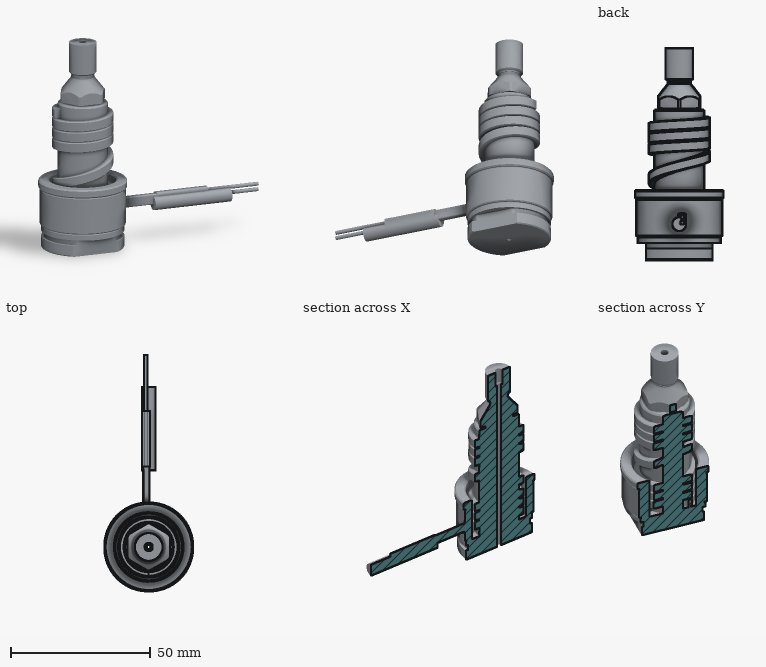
import cadquery as cq
import math

join_overlap = 0.1

flat_half_width = 12.0
plug_radius = 15.0
plug_height = 4.2
plug_chamfer = 0.4
neck_radius = 14.0
neck_top = 6.2

collar_radius = 15.0
wall_radius = 15.5
rim_radius = 16.0
collar_top = 8.5
wall_top = 22.1
cup_top = 25.2
wall_chamfer = 0.4
rim_chamfer = 0.5
bore_radius = 12.0
bore_chamfer = 0.5

stem_radius = 9.0
stem_top = 54.1
stem_chamfer = 0.5
nut_neck_radius = 6.3
nut_bottom = 54.6
nut_across_flats = 15.2
nut_corner_radius = 8.5
nut_cone_bottom = 57.8
nut_cone_top = 63.3
cap_neck_radius = 4.15
groove_bottom = 63.75
groove_top = 64.05
groove_depth = 0.2
cap_radius = 5.0
cap_taper_bottom = 64.6
cap_bottom = 65.2
overall_height = 76.2
port_radius = 1.45
port_depth = 6.0
through_radius = 0.8

spring_radius = 11.0
spring_inner_radius = stem_radius - join_overlap
spring_wire_height = 3.6
spring_edge_width = 0.6
spring_edge_drop = 0.25
spring_top = 52.4
closed_pitch = 3.9
closed_turns = 2.95
open_turns = 1.5
open_extra_drop = 12.0
spring_turns = 2 * closed_turns + open_turns
path_points_per_turn = 16

sheath_x = -0.83
cable_z = 14.5
sheath_width = 2.4
sheath_height = 3.9
sheath_corner = 0.5
sleeve_x = -1.0
sleeve_width = 3.0
sleeve_height = 4.8
sleeve_corner = 1.0
sleeve_start = 28.9
sleeve_length = 20.0
tube_radius = 2.5
tube_z = 13.0
tube_start = 27.5
tube_length = 30.0
wire_x = -1.07
wire_radius = 0.7
wire_spacing = 2.05
wire_end = 69.0


def spring_drop(turn):
    """Fall of the wire below its upper end; the pitch swells smoothly over the open stretch."""
    progress = min(max((turn - closed_turns) / open_turns, 0.0), 1.0)
    swell = progress - math.sin(2 * math.pi * progress) / (2 * math.pi)
    return closed_pitch * turn + open_extra_drop * swell


spring_bottom = spring_top - spring_drop(spring_turns) - spring_wire_height
bore_floor = spring_bottom + join_overlap


def cylinder(radius, bottom, top):
    return cq.Workplane("XY").workplane(offset=bottom).circle(radius).extrude(top - bottom)


def make_plug():
    foot = cylinder(plug_radius, 0, plug_height).faces("<Z").chamfer(plug_chamfer)
    plug = foot.union(cylinder(neck_radius, plug_height, neck_top))
    flats = cq.Workplane("XY").box(
        2 * flat_half_width, 2 * plug_radius, neck_top, centered=(True, True, False)
    )
    return plug.intersect(flats)


def make_cup():
    collar = cylinder(collar_radius, neck_top, collar_top).faces(">Z").chamfer(wall_chamfer)
    wall = cylinder(wall_radius, collar_top, wall_top).faces("<Z or >Z").chamfer(wall_chamfer)
    rim = cylinder(rim_radius, wall_top, cup_top).faces("<Z or >Z").chamfer(rim_chamfer)
    bore = cylinder(bore_radius, bore_floor, cup_top)
    cup = collar.union(wall).union(rim).cut(bore)
    return cup.faces(">Z").edges(cq.selectors.RadiusNthSelector(0)).chamfer(bore_chamfer)


def make_stem():
    stem = cylinder(stem_radius, neck_top, stem_top).faces(">Z").chamfer(stem_chamfer)
    return stem.union(cylinder(nut_neck_radius, stem_top, nut_bottom))


def make_nut_and_cap():
    groove_radius = cap_neck_radius - groove_depth
    turned = (
        cq.Workplane("XZ")
        .moveTo(0, nut_bottom)
        .lineTo(nut_corner_radius, nut_bottom)
        .lineTo(nut_corner_radius, nut_cone_bottom)
        .lineTo(cap_neck_radius, nut_cone_top)
        .lineTo(cap_neck_radius, groove_bottom)
        .lineTo(groove_radius, groove_bottom)
        .lineTo(groove_radius, groove_top)
        .lineTo(cap_neck_radius, groove_top)
        .lineTo(cap_neck_radius, cap_taper_bottom)
        .lineTo(cap_radius, cap_bottom)
        .lineTo(cap_radius, overall_height)
        .lineTo(0, overall_height)
        .close()
        .revolve(360, (0, 0, 0), (0, 1, 0))
    )
    across_corners = nut_across_flats / math.cos(math.pi / 6)
    hexagon = (
        cq.Workplane("XY")
        .workplane(offset=nut_bottom)
        .transformed(rotate=(0, 0, 30))
        .polygon(6, across_corners)
        .extrude(overall_height - nut_bottom)
    )
    return turned.intersect(hexagon)


def coil_point(turn):
    """Upper outer corner of the wire; its upper end lies at -Y and it winds down clockwise."""
    angle = -math.pi / 2 - 2 * math.pi * turn
    return (spring_radius * math.cos(angle), spring_radius * math.sin(angle), spring_top - spring_drop(turn))


def make_spring():
    steps = round(spring_turns * path_points_per_turn)
    points = [coil_point(spring_turns * i / steps) for i in range(steps + 1)]
    path = cq.Workplane("XY").spline(points)
    upright_guide = path.translate((0, 0, -spring_wire_height))
    depth = spring_radius - spring_inner_radius
    section = (
        cq.Workplane("YZ", origin=points[0])
        .moveTo(0, -spring_edge_drop)
        .lineTo(spring_edge_width, 0)
        .lineTo(depth, 0)
        .lineTo(depth, -spring_wire_height)
        .lineTo(spring_edge_width, -spring_wire_height)
        .lineTo(0, spring_edge_drop - spring_wire_height)
        .close()
    )
    return section.sweep(path, auxSpine=upright_guide)


def rounded_bar(x, width, height, corner, start, length):
    bar = cq.Workplane("XY").box(width, length, height).edges("|Y").fillet(corner)
    return bar.translate((x, start + length / 2, cable_z))


def rod_along_y(radius, x, z, start, length):
    return cq.Workplane("XZ", origin=(x, start, z)).circle(radius).extrude(-length)


def make_cable():
    sheath_start = (bore_radius + wall_radius) / 2
    sheath_length = sleeve_start + sleeve_length / 2 - sheath_start
    cable = rounded_bar(
        sheath_x, sheath_width, sheath_height, sheath_corner, sheath_start, sheath_length
    )
    sleeve = rounded_bar(
        sleeve_x, sleeve_width, sleeve_height, sleeve_corner, sleeve_start, sleeve_length
    )
    cable = cable.union(sleeve).union(rod_along_y(tube_radius, 0, tube_z, tube_start, tube_length))
    for side in (-1, 1):
        wire_z = cable_z + side * wire_spacing / 2
        wire = rod_along_y(wire_radius, wire_x, wire_z, sleeve_start, wire_end - sleeve_start)
        cable = cable.union(wire)
    return cable


def make_axial_holes():
    port = cylinder(port_radius, overall_height - port_depth, overall_height)
    return port.union(cylinder(through_radius, 0, overall_height))


result = (
    make_plug()
    .union(make_cup())
    .union(make_stem())
    .union(make_nut_and_cap())
    .union(make_cable())
    .union(make_spring())
    .cut(make_axial_holes())
)